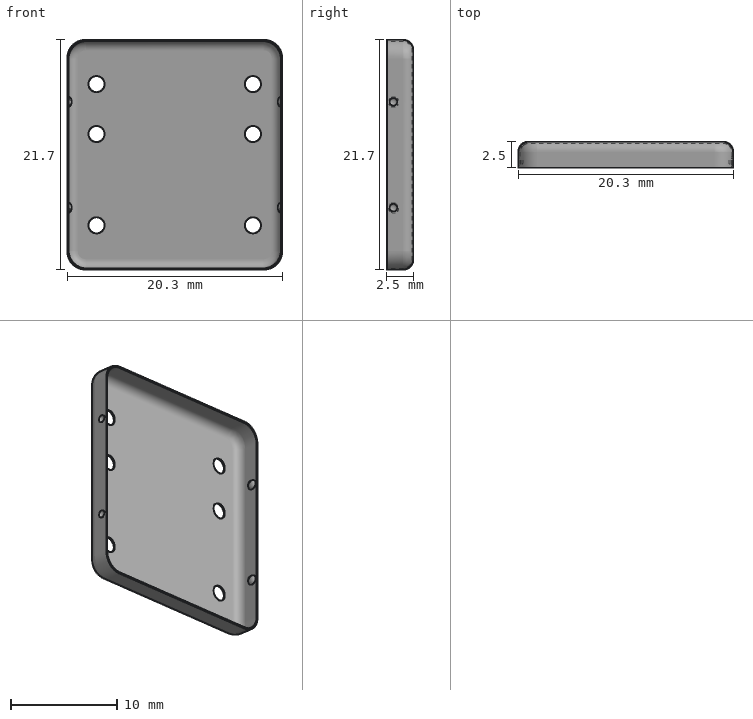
import cadquery as cq
import math

width = 20.3
depth = 2.5
height = 21.7
wall = 0.15
corner_radius = 1.75
back_edge_radius = 1.0

hole_diameter = 1.5
hole_x = 7.38
hole_outer_z = 6.66
hole_middle_z = 1.95

dimple_flat_radius = 0.098
dimple_round_radius = 0.25
dimple_from_rim = 0.6
dimple_z = 5.0

front_y = -depth / 2
back_y = depth / 2


def rounded_block(inset):
    """Solid of the tray outline, with every wall moved inwards by the inset."""
    block = cq.Workplane("XY").box(width - 2 * inset, depth - inset, height - 2 * inset)
    block = block.edges("|Y").fillet(corner_radius - inset)
    block = block.faces(">Y").edges().fillet(back_edge_radius - inset)
    return block.translate((0, -inset / 2, 0))


def dome(side, z, offset):
    """Flat-tipped dome pointing inwards from a side wall, grown by the offset."""
    round_radius = dimple_round_radius + offset
    base_radius = dimple_flat_radius + round_radius
    outer_x = side * width / 2
    diagonal = round_radius * math.sqrt(0.5)
    profile = (
        cq.Workplane("XY", origin=(outer_x, front_y + dimple_from_rim, z))
        .lineTo(0, base_radius)
        .threePointArc(
            (-side * diagonal, dimple_flat_radius + diagonal),
            (-side * round_radius, dimple_flat_radius),
        )
        .lineTo(-side * round_radius, 0)
        .close()
    )
    return profile.revolve(360, (0, 0, 0), (1, 0, 0))


tray = rounded_block(0).cut(rounded_block(wall))

hole_points = [(x, z) for x in (-hole_x, hole_x) for z in (-hole_outer_z, hole_middle_z, hole_outer_z)]
holes = (
    cq.Workplane("XZ", origin=(0, back_y, 0))
    .pushPoints(hole_points)
    .circle(hole_diameter / 2)
    .extrude(2 * wall, both=True)
)
tray = tray.cut(holes)

for side in (-1, 1):
    for z in (-dimple_z, dimple_z):
        tray = tray.union(dome(side, z, wall)).cut(dome(side, z, 0))

result = tray